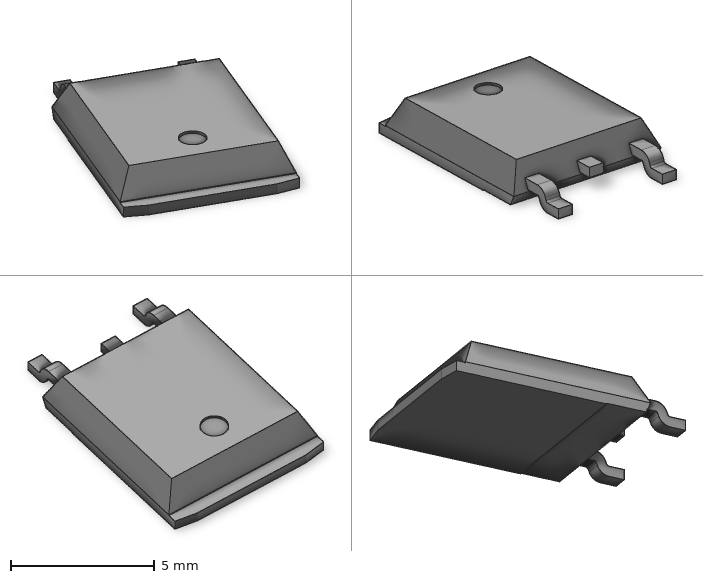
import cadquery as cq
import math

length = 9.5
width = 6.5
height = 1.52

body_left = 1.7
body_right = 9.01
parting_z = 0.42
body_bottom_z = 0.03
top_inset = 0.49
bottom_inset = 0.19

metal_thickness = 0.39
pad_left = 3.43
tab_end_width = 4.75
tab_taper = 0.14

lead_width = 0.62
lead_pitch = 2.3
lead_rise = 0.48
foot_length = 0.6
bend_radius = 0.1
bend_run = 0.6
lead_embed = 0.475

mark_x = 7.33
mark_diameter = 1.0
mark_depth = 0.095


def extrude_across(profile, y_center, y_width):
    """Extrude an XZ outline along Y, centred on y_center."""
    return profile.extrude(y_width / 2, both=True).translate((0, y_center, 0))


def make_body():
    """Sloped upper half on a shallow lower half undercut at the lead side."""
    body_length = body_right - body_left
    upper = (
        cq.Workplane("XY", origin=((body_left + body_right) / 2, 0, parting_z))
        .rect(body_length, width)
        .workplane(offset=height - parting_z)
        .rect(body_length - 2 * top_inset, width - 2 * top_inset)
        .loft(ruled=True)
    )
    lower = cq.Workplane("XZ").polyline([
        (body_left, parting_z),
        (body_left + bottom_inset, body_bottom_z),
        (body_right, body_bottom_z),
        (body_right, parting_z),
    ]).close()
    return upper.union(extrude_across(lower, 0, width))


def make_tab():
    """Metal plate that shows below the body and ends in a tapered tab."""
    taper_x = length - tab_taper
    return cq.Workplane("XY").polyline([
        (pad_left, -width / 2),
        (taper_x, -width / 2),
        (length, -tab_end_width / 2),
        (length, tab_end_width / 2),
        (taper_x, width / 2),
        (pad_left, width / 2),
    ]).close().extrude(metal_thickness)


outer_radius = bend_radius + metal_thickness
radius_sum = bend_radius + outer_radius
center_drop = radius_sum - lead_rise
slope_length = math.sqrt(bend_run ** 2 + center_drop ** 2 - radius_sum ** 2)
tilt = math.atan2(center_drop, bend_run) + math.atan2(slope_length, radius_sum)
shoulder_x = foot_length + bend_run
lead_top_z = lead_rise + metal_thickness
lead_end_x = body_left + lead_embed
foot_center = (foot_length, outer_radius)
shoulder_center = (shoulder_x, lead_rise - bend_radius)


def on_arc(center, radius, angle):
    """Point on a circle in the XZ plane."""
    return (center[0] + radius * math.cos(angle), center[1] + radius * math.sin(angle))


def make_bent_lead(y_center):
    """Outer lead: foot on the seating plane, S-bend, then a straight run into the body."""
    foot_middle = (-tilt - math.pi / 2) / 2
    shoulder_start = math.pi - tilt
    shoulder_middle = (shoulder_start + math.pi / 2) / 2
    profile = (
        cq.Workplane("XZ")
        .moveTo(0, 0)
        .lineTo(foot_length, 0)
        .threePointArc(on_arc(foot_center, outer_radius, foot_middle), on_arc(foot_center, outer_radius, -tilt))
        .lineTo(*on_arc(shoulder_center, bend_radius, shoulder_start))
        .threePointArc(on_arc(shoulder_center, bend_radius, shoulder_middle), (shoulder_x, lead_rise))
        .lineTo(lead_end_x, lead_rise)
        .lineTo(lead_end_x, lead_top_z)
        .lineTo(shoulder_x, lead_top_z)
        .threePointArc(
            on_arc(shoulder_center, outer_radius, shoulder_middle),
            on_arc(shoulder_center, outer_radius, shoulder_start),
        )
        .lineTo(*on_arc(foot_center, bend_radius, -tilt))
        .threePointArc(on_arc(foot_center, bend_radius, foot_middle), (foot_length, metal_thickness))
        .lineTo(0, metal_thickness)
        .close()
    )
    return extrude_across(profile, y_center, lead_width)


def make_short_lead():
    """Centre lead cut off where the outer leads begin to bend."""
    return cq.Workplane("XY").box(
        lead_end_x - shoulder_x, lead_width, metal_thickness, centered=(False, True, False)
    ).translate((shoulder_x, 0, lead_rise))


def make_mark():
    """Shallow round recess to cut from the top face."""
    return (
        cq.Workplane("XY", origin=(mark_x, 0, height - mark_depth))
        .circle(mark_diameter / 2)
        .extrude(mark_depth)
    )


result = make_body().union(make_tab()).union(make_short_lead())
for side in (-1, 1):
    result = result.union(make_bent_lead(side * lead_pitch))
result = result.cut(make_mark())